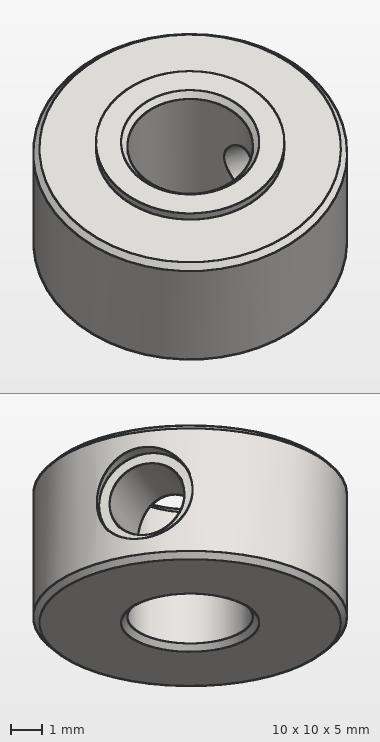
import cadquery as cq

outer_diameter = 10.0
total_height = 5.0
hub_height = 0.3
body_height = total_height - hub_height
edge_chamfer = 0.2

hub_diameter = 6.0
bore_diameter = 4.0

screw_hole_diameter = 2.5
screw_hole_height = body_height / 2
recess_diameter = 3.2
recess_depth = 0.5


def make_collar():
    """Chamfered cylinder with a raised hub on top."""
    body = cq.Workplane("XY").circle(outer_diameter / 2).extrude(body_height)
    body = body.edges().chamfer(edge_chamfer)
    hub = cq.Workplane("XY").circle(hub_diameter / 2).extrude(total_height)
    return body.union(hub)


def cut_bore(part):
    """Through bore, chamfered at both ends."""
    bored = part.cut(cq.Workplane("XY").circle(bore_diameter / 2).extrude(total_height))
    bore_rims = cq.selectors.RadiusNthSelector(0)
    return bored.edges("%CIRCLE").edges(bore_rims).chamfer(edge_chamfer)


def radial_cylinder(diameter, start, end):
    """Cylinder along +Y between two distances from the bore axis."""
    return (
        cq.Workplane("XZ", origin=(0, start, screw_hole_height))
        .circle(diameter / 2)
        .extrude(start - end)
    )


def make_screw_hole():
    """Stepped hole from the bore axis out through the +Y side."""
    outer_radius = outer_diameter / 2
    hole = radial_cylinder(screw_hole_diameter, 0, outer_radius)
    recess = radial_cylinder(recess_diameter, outer_radius - recess_depth, outer_radius)
    return hole.union(recess)


result = cut_bore(make_collar()).cut(make_screw_hole())